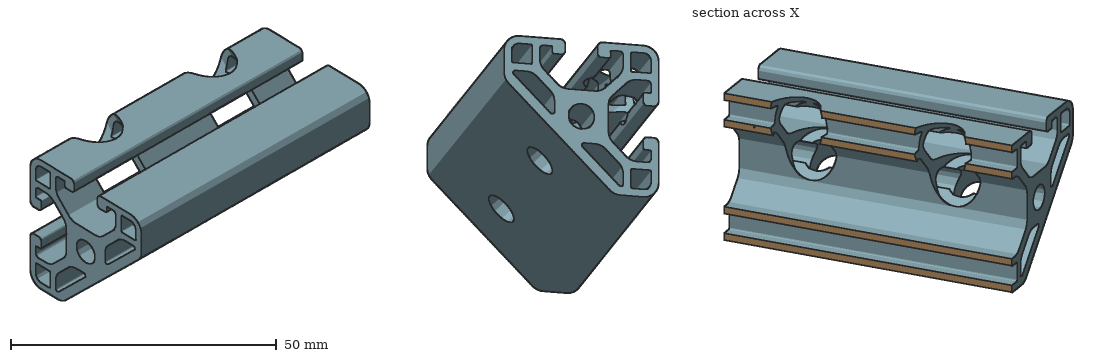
import cadquery as cq
import math

side = 30.0
length = 60.0
half = side / 2
wall = 1.5
corner_radius = 3.0

slot_half_width = 3.1
lip_width = 2.5
lip_depth = 3.0
lip_outer_radius = 1.0
lip_inner_radius = 0.7
lip_hook_radius = 0.3
lip_root_radius = 0.3
cavity_half_width = 8.1
cavity_corner_radius = 0.8
core_half = 5.2
web_offset = 1.45
web_radius = 3.0

slope_offset = 8.7

box_inner = cavity_half_width + wall
box_corner_radius = 1.5
box_small_radius = 0.3
slope_pocket_offset = 5.8
slope_pocket_radius = 0.5
core_bore_diameter = 5.0
screw_hole_diameter = 6.5
counterbore_diameter = 11.0
counterbore_floor = 1.4
screw_hole_pitch = length / 2


def swapped(corners):
    """Mirror corners across the diagonal through the upper left corner, keeping the turning direction."""
    return [(-z, -x, radius) for x, z, radius in reversed(corners)]


def rounded_prism(corners):
    """Extrude a closed XZ polygon along Y; each corner is (x, z, radius), with radius above zero."""
    outline = cq.Workplane("XZ")
    for i, (x, z, radius) in enumerate(corners):
        corner = cq.Vector(x, z)
        before = cq.Vector(*corners[i - 1][:2])
        after = cq.Vector(*corners[(i + 1) % len(corners)][:2])
        to_before = (before - corner).normalized()
        to_after = (after - corner).normalized()
        half_angle = to_before.getAngle(to_after) / 2
        tangent_length = radius / math.tan(half_angle)
        arc_start = corner + to_before * tangent_length
        if i == 0:
            outline = outline.moveTo(arc_start.x, arc_start.y)
        else:
            outline = outline.lineTo(arc_start.x, arc_start.y)
        bisector = (to_before + to_after).normalized()
        arc_middle = corner + bisector * (radius / math.sin(half_angle) - radius)
        arc_end = corner + to_after * tangent_length
        outline = outline.threePointArc((arc_middle.x, arc_middle.y), (arc_end.x, arc_end.y))
    return outline.close().extrude(length / 2, both=True)


def profile_body():
    """Outer shape with both T-slots."""
    lip_hook = slot_half_width + lip_width
    slot_left = [
        (-slot_half_width, half, lip_outer_radius),
        (-slot_half_width, half - lip_depth, lip_inner_radius),
        (-lip_hook, half - lip_depth, lip_hook_radius),
        (-lip_hook, half - wall, lip_root_radius),
        (-cavity_half_width, half - wall, cavity_corner_radius),
        (-cavity_half_width, cavity_half_width + web_offset, web_radius),
        (-core_half + web_offset, core_half, web_radius),
    ]
    slot_right = [(-x, z, radius) for x, z, radius in reversed(slot_left)]
    upper_right = slot_left + slot_right + [
        (half, half, corner_radius),
        (half, half - slope_offset, corner_radius),
    ]
    upper_left_corner = (-half, half, corner_radius)
    return rounded_prism([upper_left_corner] + upper_right + swapped(upper_right))


def box_hollow(x_side, z_side):
    """Square hollow in the corner on the given sides."""
    outer = half - wall
    return rounded_prism([
        (x_side * box_inner, z_side * box_inner, box_small_radius),
        (x_side * outer, z_side * box_inner, box_small_radius),
        (x_side * outer, z_side * outer, box_corner_radius),
        (x_side * box_inner, z_side * outer, box_small_radius),
    ])


def slope_pockets():
    """Pair of hollows between the diagonal webs and the sloped wall."""
    upper = [
        (core_half, core_half - slope_pocket_offset, slope_pocket_radius),
        (core_half, core_half - web_offset, web_radius),
        (cavity_half_width + web_offset, cavity_half_width, web_radius),
        (cavity_half_width + slope_pocket_offset, cavity_half_width, slope_pocket_radius),
    ]
    return rounded_prism(upper).union(rounded_prism(swapped(upper)))


def screw_hole(y):
    """Counterbored diagonal hole from the upper left corner through the sloped face."""
    inward = cq.Vector(1, 0, -1).normalized()
    floor_center = inward * -counterbore_floor + cq.Vector(0, y, 0)
    through = cq.Solid.makeCylinder(screw_hole_diameter / 2, side, floor_center, inward)
    counterbore = cq.Solid.makeCylinder(counterbore_diameter / 2, side, floor_center, inward * -1)
    return cq.Workplane(through).union(cq.Workplane(counterbore))


def core_bore():
    """Round bore along the full length of the core."""
    return cq.Workplane("XZ").circle(core_bore_diameter / 2).extrude(length / 2, both=True)


result = profile_body().cut(slope_pockets()).cut(core_bore())
for x_side, z_side in ((-1, 1), (1, 1), (-1, -1)):
    result = result.cut(box_hollow(x_side, z_side))
for y in (-screw_hole_pitch / 2, screw_hole_pitch / 2):
    result = result.cut(screw_hole(y))